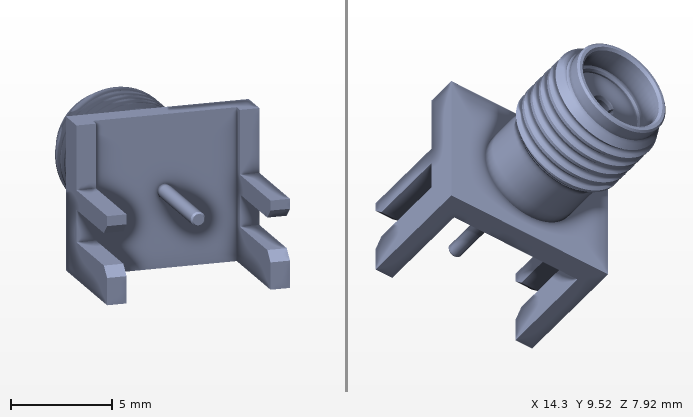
import cadquery as cq


length = 14.27
width = 9.52
height = 7.92

barrel_diameter = 5.38
barrel_chamfer = 0.1
flange_front = 7.85
web_thickness = 1.17
flange_thickness = 1.67
web_back = flange_front + web_thickness
flange_back = flange_front + flange_thickness

leg_width = 1.01
leg_chamfer = 0.5
upper_leg_top = 0.63
upper_leg_bottom = -0.39
lower_leg_top = -2.05

thread_start = 0.74
thread_end = 5.08
major_diameter = 6.35
root_diameter = 5.6
five_pitches = 3.52
pitch = five_pitches / 5
crest_flat = 0.15
root_flat = 0.15
groove_start = -0.064
groove_turns = 8
cutter_clearance = 0.07

bore_diameter = 4.6
bore_depth = 1.43
mouth_chamfer = 0.13
insulator_diameter = 4.0
seat_diameter = 4.2
seat_chamfer = (seat_diameter - insulator_diameter) / 2
insulator_recess = 0.1
insulator_front = bore_depth + seat_chamfer + insulator_recess

contact_diameter = 1.27
contact_bore_diameter = 0.97
contact_bore_depth = 2.85
contact_chamfer = (contact_diameter - contact_bore_diameter) / 2
slot_width = 0.21
slot_depth = 2.14
socket_length = 4.28
pin_diameter = 0.75
pin_chamfer = 0.09


def cylinder(start, end, diameter):
    """Cylinder on the X axis between two X positions."""
    return cq.Workplane("YZ", origin=(start, 0, 0)).circle(diameter / 2).extrude(end - start)


def countersink(start, outer_diameter, depth):
    """Cone with a 45 degree flank that narrows from its start along +X."""
    outer_radius = outer_diameter / 2
    cone = cq.Solid.makeCone(
        outer_radius, outer_radius - depth, depth, cq.Vector(start, 0, 0), cq.Vector(1, 0, 0)
    )
    return cq.Workplane(cone)


def make_thread():
    """Sleeve with 45 degree ends and a right-handed helical groove."""
    end_chamfer = (major_diameter - barrel_diameter) / 2
    sleeve = cylinder(thread_start, thread_end, major_diameter).edges().chamfer(end_chamfer)

    root_radius = root_diameter / 2
    major_radius = major_diameter / 2
    outer_radius = major_radius + cutter_clearance
    groove_half_width = (pitch - crest_flat) / 2
    flank_slope = (groove_half_width - root_flat / 2) / (major_radius - root_radius)
    outer_half_width = groove_half_width + cutter_clearance * flank_slope
    helix = cq.Wire.makeHelix(pitch, pitch, root_radius)
    groove_turn = (
        cq.Workplane("XZ")
        .polyline([
            (root_radius, -root_flat / 2),
            (root_radius, root_flat / 2),
            (outer_radius, outer_half_width),
            (outer_radius, -outer_half_width),
        ])
        .close()
        .sweep(cq.Workplane(helix), isFrenet=True)
        .rotate((0, 0, 0), (0, 1, 0), 90)
        .translate((groove_start, 0, 0))
    )
    for turn in range(groove_turns):
        sleeve = sleeve.cut(groove_turn.translate((turn * pitch, 0, 0)))
    return sleeve


def make_flange():
    """Plate with side rails and two legs on each side."""
    top = height / 2
    bottom = -height / 2
    chamfer_start = length - leg_chamfer
    side_outline = [
        (flange_front, bottom),
        (length, bottom),
        (length, lower_leg_top - leg_chamfer),
        (chamfer_start, lower_leg_top),
        (flange_back, lower_leg_top),
        (flange_back, upper_leg_bottom),
        (chamfer_start, upper_leg_bottom),
        (length, upper_leg_bottom + leg_chamfer),
        (length, upper_leg_top),
        (flange_back, upper_leg_top),
        (flange_back, top),
        (flange_front, top),
    ]
    block = cq.Workplane("XZ").polyline(side_outline).close().extrude(width / 2, both=True)
    space_between_sides = cq.Workplane("XY").box(
        length - web_back, width - 2 * leg_width, height, centered=(False, True, True)
    ).translate((web_back, 0, 0))
    return block.cut(space_between_sides)


def make_housing():
    """Threaded barrel and flange with a stepped bore."""
    barrel = cylinder(0, flange_front, barrel_diameter).faces("<X").edges().chamfer(barrel_chamfer)
    return (
        make_flange()
        .union(barrel)
        .union(make_thread())
        .cut(cylinder(0, bore_depth, bore_diameter))
        .cut(countersink(0, bore_diameter + 2 * mouth_chamfer, mouth_chamfer))
        .cut(countersink(bore_depth, seat_diameter, seat_chamfer))
        .cut(cylinder(bore_depth, web_back, insulator_diameter))
    )


def make_contact_blank():
    """Outer shape of the contact: a thick socket with a thinner tail pin."""
    socket_end = insulator_front + socket_length
    tail = cylinder(socket_end, length, pin_diameter).faces(">X").edges().chamfer(pin_chamfer)
    return cylinder(insulator_front, socket_end, contact_diameter).union(tail)


def make_insulator():
    """Sleeve that fills the housing bore around the contact."""
    return cylinder(insulator_front, web_back, insulator_diameter).cut(make_contact_blank())


def make_contact():
    """Contact with a countersunk, slotted socket."""
    slot = cq.Workplane("XY").box(
        slot_depth, contact_diameter, slot_width, centered=(False, True, True)
    ).translate((insulator_front, 0, 0))
    return (
        make_contact_blank()
        .cut(cylinder(insulator_front, insulator_front + contact_bore_depth, contact_bore_diameter))
        .cut(countersink(insulator_front, contact_diameter, contact_chamfer))
        .cut(slot)
    )


housing = make_housing()
insulator = make_insulator()
contact = make_contact()

result = cq.Compound.makeCompound([housing.val(), insulator.val(), contact.val()])